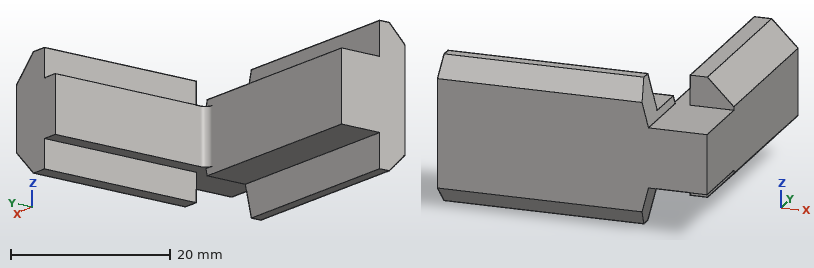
import cadquery as cq
import math

length_x = 36.0
length_y = 34.0

x_arm_depth = 10.0
x_core_half_height = 5.0
x_flange_half_height = 9.75
x_flange_depth = 4.0
x_flange_bevel = 2.5
x_flange_end = 26.68

neck_half_height = 4.0
neck_start = 28.2
y_core_start = 27.95
y_flange_start = 30.15
y_flange_half_height = 8.0
y_flange_bevel_start = 32.47
y_flange_edge_half_height = 4.45

inner_corner_radius = 1.0


def centred_box(x_start, x_end, y_start, y_end, half_height):
    """Box between the given X and Y limits, symmetric about Z = 0."""
    size_x = x_end - x_start
    size_y = y_end - y_start
    box = cq.Workplane("XY").box(size_x, size_y, 2 * half_height, centered=(False, False, True))
    return box.translate((x_start, y_start, 0))


def mirrored_outline(upper_points):
    """Complete an outline with the mirror image of its upper half about Z = 0."""
    return upper_points + [(across, -height) for across, height in reversed(upper_points)]


def make_x_arm():
    profile = mirrored_outline([
        (0, x_flange_half_height - x_flange_bevel),
        (x_flange_bevel, x_flange_half_height),
        (x_flange_depth, x_flange_half_height),
        (x_flange_depth, x_core_half_height),
        (x_arm_depth, x_core_half_height),
    ])
    arm = cq.Workplane("YZ").polyline(profile).close().extrude(neck_start)

    slope_outline = mirrored_outline([
        (0, x_flange_half_height),
        (x_flange_end, x_flange_half_height),
        (neck_start, neck_half_height),
    ])
    slope = cq.Workplane("XZ").polyline(slope_outline).close().extrude(-x_arm_depth)
    return arm.intersect(slope)


def make_y_arm():
    core = centred_box(y_core_start, length_x, 0, length_y, neck_half_height)
    flange_profile = mirrored_outline([
        (y_flange_start, y_flange_half_height),
        (y_flange_bevel_start, y_flange_half_height),
        (length_x, y_flange_edge_half_height),
    ])
    flange = (
        cq.Workplane("XZ", origin=(0, x_arm_depth, 0))
        .polyline(flange_profile).close()
        .extrude(x_arm_depth - length_y)
    )
    return core.union(flange)


def make_inner_corner():
    """Concave round filling the inside corner between the two cores."""
    radius = inner_corner_radius
    arc_inset = radius * (1 - math.sqrt(0.5))
    return (
        cq.Workplane("XY", origin=(y_core_start, x_arm_depth, -neck_half_height))
        .moveTo(-radius, 0)
        .lineTo(0, 0)
        .lineTo(0, radius)
        .threePointArc((-arc_inset, arc_inset), (-radius, 0))
        .close()
        .extrude(2 * neck_half_height)
    )


result = make_x_arm().union(make_y_arm()).union(make_inner_corner())